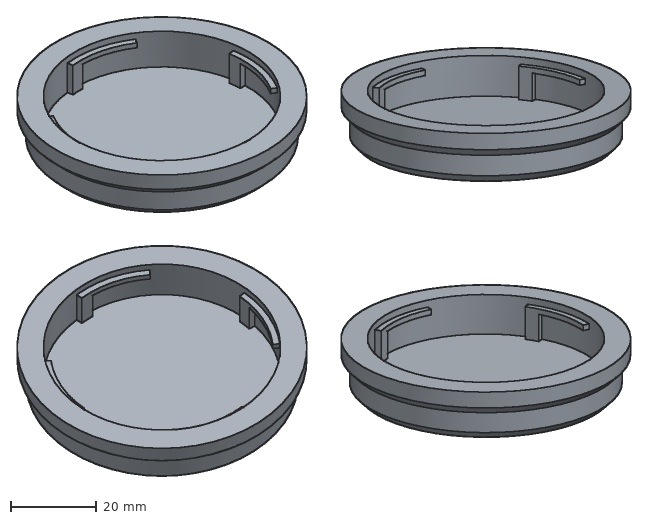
import cadquery as cq
import math

rim_radius = 34.0
body_radius = 32.0
chamfer = 2.0
rim_height = 4.0
total_height = 13.0

cavity_radius = 27.8
cavity_depth = 10.0
floor_height = total_height - cavity_depth

stop_count = 4
stop_width = 1.6
stop_top = total_height - 1.8
ledge_thickness = 1.35
stop_start_angle = 88.5
ledge_span = 40.0
post_span = 7.5
wall_overlap = 0.7


def make_cup():
    shoulder_top = total_height - rim_height
    shoulder_bottom = shoulder_top - chamfer
    profile = [
        (0, 0),
        (body_radius - chamfer, 0),
        (body_radius, chamfer),
        (body_radius, shoulder_bottom),
        (rim_radius, shoulder_top),
        (rim_radius, total_height),
        (cavity_radius, total_height),
        (cavity_radius, floor_height),
        (0, floor_height),
    ]
    return cq.Workplane("XZ").polyline(profile).close().revolve(360, (0, 0, 0), (0, 1, 0))


def polar_point(radius, angle):
    return (radius * math.cos(math.radians(angle)), radius * math.sin(math.radians(angle)))


def ring_sector(start_angle, span, bottom, top):
    """Sector against the cavity wall, running clockwise from start_angle."""
    inner_radius = cavity_radius - stop_width
    outer_radius = cavity_radius + wall_overlap
    middle_angle = start_angle - span / 2
    end_angle = start_angle - span
    return (
        cq.Workplane("XY", origin=(0, 0, bottom))
        .moveTo(*polar_point(inner_radius, start_angle))
        .lineTo(*polar_point(outer_radius, start_angle))
        .threePointArc(polar_point(outer_radius, middle_angle), polar_point(outer_radius, end_angle))
        .lineTo(*polar_point(inner_radius, end_angle))
        .threePointArc(polar_point(inner_radius, middle_angle), polar_point(inner_radius, start_angle))
        .close()
        .extrude(top - bottom)
    )


def make_stop(start_angle):
    ledge = ring_sector(start_angle, ledge_span, stop_top - ledge_thickness, stop_top)
    post_bottom = floor_height - wall_overlap
    post = ring_sector(start_angle, post_span, post_bottom, stop_top)
    return ledge.union(post)


result = make_cup()
for index in range(stop_count):
    result = result.union(make_stop(stop_start_angle + index * 360 / stop_count))